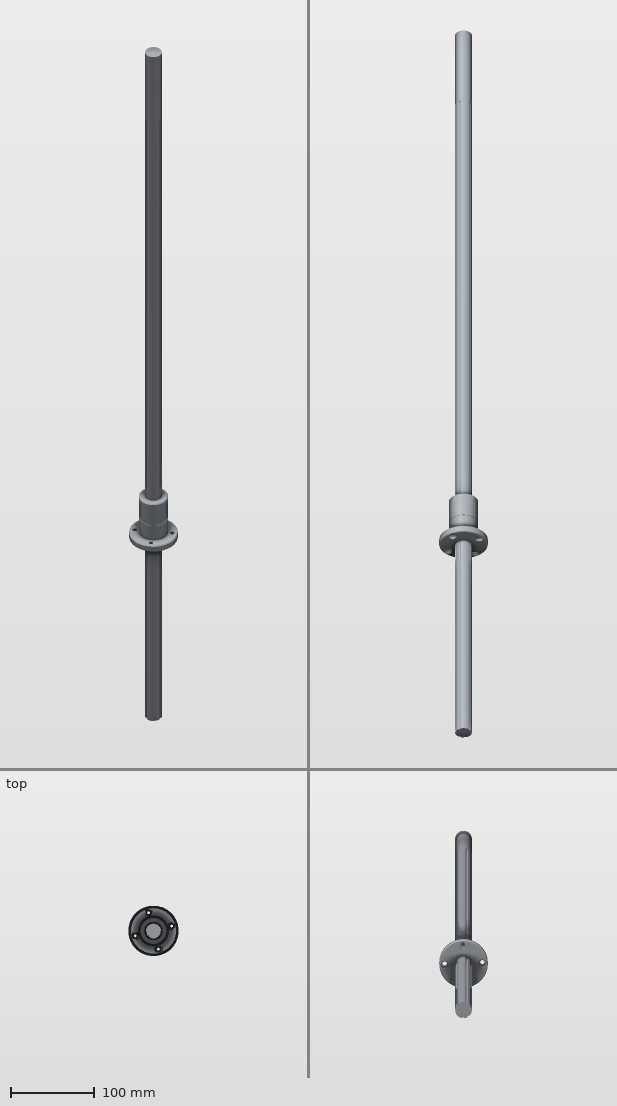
import cadquery as cq
import math

shaft_length = 1000.0
shaft_diameter = 20.0
plain_end_length = 100.0
groove_length = shaft_length - plain_end_length
groove_radius = 2.0
groove_depth = 1.0
groove_pair_angles = (90, 210, 330)
groove_half_angle = 20

nut_bottom = 269.0
nut_length = 63.0
nut_diameter = 35.0
nut_chamfer = 1.0
flange_diameter = 58.0
flange_thickness = 9.0
flange_chamfer = 1.0

bolt_circle_diameter = 45.0
bolt_count = 4
first_bolt_angle = 15
bolt_hole_diameter = 5.5
counterbore_diameter = 9.5
counterbore_depth = 5.4

oil_groove_height = nut_length / 2
oil_groove_width = 1.0
oil_groove_depth = 0.5
oil_hole_diameter = 1.5


def polar_point(radius, angle):
    """Return the XY point at a radius and an angle in degrees."""
    return (radius * math.cos(math.radians(angle)), radius * math.sin(math.radians(angle)))


def make_shaft():
    """Round shaft whose ball grooves stop short of the plain top end."""
    shaft = cq.Workplane("XY").circle(shaft_diameter / 2).extrude(shaft_length)
    groove_center_radius = shaft_diameter / 2 - groove_depth + groove_radius
    groove_centers = [
        polar_point(groove_center_radius, pair_angle + side * groove_half_angle)
        for pair_angle in groove_pair_angles
        for side in (-1, 1)
    ]
    grooves = cq.Workplane("XY").pushPoints(groove_centers).circle(groove_radius).extrude(groove_length)
    return shaft.cut(grooves)


def make_nut_blank():
    """Flange and sleeve with chamfered rims, bored to fit the shaft."""
    sleeve = cq.Workplane("XY").circle(nut_diameter / 2).extrude(nut_length)
    sleeve = sleeve.faces(">Z").chamfer(nut_chamfer)
    flange = cq.Workplane("XY").circle(flange_diameter / 2).extrude(flange_thickness)
    flange = flange.faces("<Z or >Z").chamfer(flange_chamfer)
    bore = cq.Workplane("XY").circle(shaft_diameter / 2).extrude(nut_length)
    return sleeve.union(flange).cut(bore)


def make_bolt_holes():
    """Cutters for the through holes and the counterbores in the lower flange face."""
    hole_centers = [
        polar_point(bolt_circle_diameter / 2, first_bolt_angle + 360 / bolt_count * index)
        for index in range(bolt_count)
    ]
    layout = cq.Workplane("XY").pushPoints(hole_centers)
    holes = layout.circle(bolt_hole_diameter / 2).extrude(flange_thickness)
    counterbores = layout.circle(counterbore_diameter / 2).extrude(counterbore_depth)
    return holes.union(counterbores)


def make_oil_groove():
    """Cutter for the shallow ring groove around the sleeve."""
    return (
        cq.Workplane("XY", origin=(0, 0, oil_groove_height - oil_groove_width / 2))
        .circle(nut_diameter / 2)
        .circle(nut_diameter / 2 - oil_groove_depth)
        .extrude(oil_groove_width)
    )


def make_oil_hole():
    """Cutter for the radial hole from the -X side of the groove to the bore."""
    return (
        cq.Workplane("YZ", origin=(0, 0, oil_groove_height))
        .circle(oil_hole_diameter / 2)
        .extrude(-nut_diameter / 2)
    )


def make_nut():
    """Complete nut at its place along the shaft."""
    nut = make_nut_blank().cut(make_bolt_holes())
    nut = nut.cut(make_oil_groove()).cut(make_oil_hole())
    return nut.translate((0, 0, nut_bottom))


shaft = make_shaft()
nut = make_nut()
result = cq.Compound.makeCompound([shaft.solids().val(), nut.solids().val()])